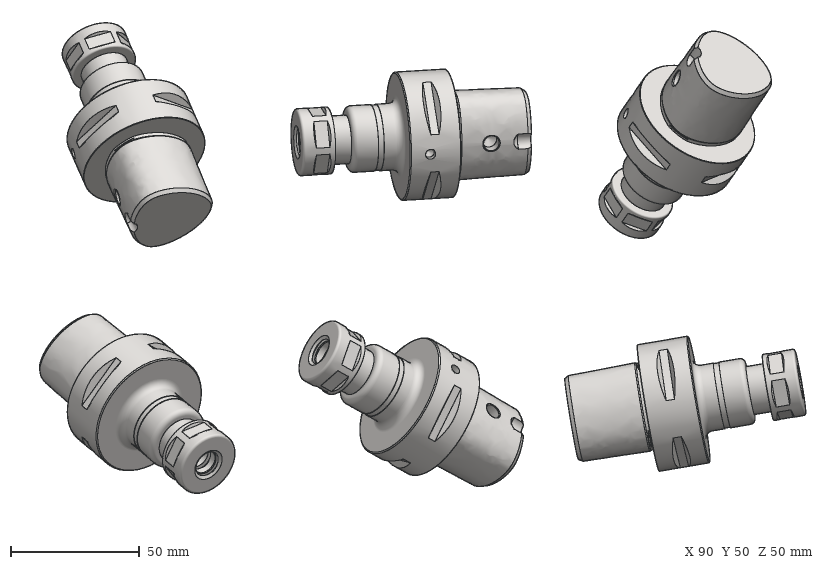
import cadquery as cq
import math


total_length = 90.0
nut_end = 12.9
body_start = 19.8
flange_start = 40.0
flange_end = 60.0
shank_full_start = 62.1
shank_chamfer_length = 1.6

nut_diameter = 26.2
neck_diameter = 19.0
body_diameter = 26.0
groove_diameter = 25.6
flange_diameter = 50.0

nut_front_round = 1.0
nut_rear_round = 0.6
body_front_round = 2.2
flange_blend = 3.0
flange_front_chamfer = 0.45
flange_rear_chamfer = 0.2
groove_start = 29.8
groove_end = 32.0

flat_wall_angle = 30.0
nut_flat_count = 6
nut_flat_centre = 7.8
nut_flat_width = 5.3
nut_flat_distance = 12.0
flange_flat_count = 4
flange_flat_centre = 49.95
flange_flat_width = 3.2
flange_flat_distance = 22.2

shank_mean_radius = 17.5
lobe_height = 1.1
shank_slope = 0.02
shank_chamfer_depth = 1.0
shank_root_step = 0.3
root_bevel_length = 0.5
relief_radius = 17.7
relief_floor_end = 60.8
lobe_count = 3
outline_points = 48

drill_tip_angle = 118.0
cutter_clearance = 0.9

index_hole_centre = 48.0
index_hole_diameter = 4.0
index_hole_depth = 2.7
shank_hole_centre = 73.9
shank_hole_diameter = 6.1
shank_hole_rim_diameter = 7.0
shank_hole_depth = 5.4
slot_diameter = 6.4
slot_start = 84.7
slot_dome_height = 2.0
slot_axis_offset = 16.5

mouth_diameter = 13.0
lip_diameter = 10.5
throat_diameter = 9.6
collar_rim_diameter = 10.0
relief_diameter = 13.5
inner_bore_diameter = 9.3
lip_depth = 0.9
collar_start = 1.9
collar_bevel = 0.45
collar_end = 5.4
inner_bore_start = 6.8
inner_bore_end = 14.4
pin_hole_diameter = 2.0
pin_hole_offset = 3.1
pin_hole_depth = 1.8


def turned_body():
    nut_r = nut_diameter / 2
    neck_r = neck_diameter / 2
    body_r = body_diameter / 2
    groove_r = groove_diameter / 2
    flange_r = flange_diameter / 2
    diagonal = math.sqrt(0.5)

    def rounded_corner(profile, x_centre, r_centre, radius, x_sign, x_end, r_end):
        middle = (x_centre + x_sign * radius * diagonal, r_centre + radius * diagonal)
        return profile.threePointArc(middle, (x_end, r_end))

    profile = cq.Workplane("XY").moveTo(0, 0).lineTo(0, nut_r - nut_front_round)
    profile = rounded_corner(
        profile, nut_front_round, nut_r - nut_front_round, nut_front_round, -1, nut_front_round, nut_r
    )
    profile = profile.lineTo(nut_end - nut_rear_round, nut_r)
    profile = rounded_corner(
        profile, nut_end - nut_rear_round, nut_r - nut_rear_round, nut_rear_round, 1,
        nut_end, nut_r - nut_rear_round,
    )
    profile = profile.lineTo(nut_end, neck_r).lineTo(body_start, neck_r)
    profile = profile.lineTo(body_start, body_r - body_front_round)
    profile = rounded_corner(
        profile, body_start + body_front_round, body_r - body_front_round, body_front_round, -1,
        body_start + body_front_round, body_r,
    )
    profile = profile.lineTo(groove_start, body_r).lineTo(groove_start, groove_r)
    profile = profile.lineTo(groove_end, groove_r).lineTo(groove_end, body_r)
    profile = profile.lineTo(flange_start - flange_blend, body_r)
    profile = profile.threePointArc(
        (
            flange_start - flange_blend * (1 - diagonal),
            body_r + flange_blend * (1 - diagonal),
        ),
        (flange_start, body_r + flange_blend),
    )
    profile = profile.lineTo(flange_start, flange_r - flange_front_chamfer)
    profile = profile.lineTo(flange_start + flange_front_chamfer, flange_r)
    profile = profile.lineTo(flange_end - flange_rear_chamfer, flange_r)
    profile = profile.lineTo(flange_end, flange_r - flange_rear_chamfer).lineTo(flange_end, 0).close()
    return profile.revolve(360, (0, 0, 0), (1, 0, 0))


def flat_cutter(centre, width, distance, outer_diameter, angle):
    """Trapezoidal bar that mills one flat; at angle 0 the flat faces +Z."""
    bar_height = outer_diameter / 2 - distance + cutter_clearance
    spread = bar_height * math.tan(math.radians(flat_wall_angle))
    half = width / 2
    bar = (
        cq.Workplane("XZ")
        .polyline([
            (centre - half, distance),
            (centre + half, distance),
            (centre + half + spread, distance + bar_height),
            (centre - half - spread, distance + bar_height),
        ])
        .close()
        .extrude(outer_diameter / 2, both=True)
    )
    return bar.rotate((0, 0, 0), (1, 0, 0), angle)


def lobed_outline(x, mean_radius):
    """Constant-width outline with one lobe toward +Y, as the envelope of its tangent lines."""
    points = []
    for index in range(outline_points):
        angle = 2 * math.pi * index / outline_points
        support = mean_radius + lobe_height * math.cos(lobe_count * angle)
        support_slope = -lobe_count * lobe_height * math.sin(lobe_count * angle)
        y = support * math.cos(angle) - support_slope * math.sin(angle)
        z = support * math.sin(angle) + support_slope * math.cos(angle)
        points.append(cq.Vector(x, y, z))
    return cq.Wire.assembleEdges([cq.Edge.makeSpline(points, periodic=True)])


def lobed_segment(x_start, radius_start, x_end, radius_end):
    outlines = [lobed_outline(x_start, radius_start), lobed_outline(x_end, radius_end)]
    return cq.Workplane(obj=cq.Solid.makeLoft(outlines, True))


def shank():
    root_radius = shank_mean_radius - shank_root_step
    bevel_start = shank_full_start - root_bevel_length
    chamfer_start = total_length - shank_chamfer_length
    rear_radius = shank_mean_radius - shank_slope * (chamfer_start - shank_full_start)
    root = lobed_segment(flange_end, root_radius, bevel_start, root_radius)
    root = root.union(lobed_segment(bevel_start, root_radius, shank_full_start, shank_mean_radius))
    taper = lobed_segment(shank_full_start, shank_mean_radius, chamfer_start, rear_radius)
    end = lobed_segment(chamfer_start, rear_radius, total_length, rear_radius - shank_chamfer_depth)

    clear_radius = shank_mean_radius + 2 * lobe_height
    relief = (
        cq.Workplane("XY")
        .polyline([
            (flange_end, relief_radius),
            (relief_floor_end, relief_radius),
            (relief_floor_end + clear_radius - relief_radius, clear_radius),
            (flange_end, clear_radius),
        ])
        .close()
        .revolve(360, (0, 0, 0), (1, 0, 0))
    )
    return root.union(taper).union(end).cut(relief)


def tip_length(diameter):
    return diameter / 2 / math.tan(math.radians(drill_tip_angle / 2))


def drilled_hole(diameter, depth):
    """Hole running along +X from the origin, with a conical drill tip."""
    radius = diameter / 2
    return (
        cq.Workplane("XY")
        .polyline([(0, 0), (0, radius), (depth, radius), (depth + tip_length(diameter), 0)])
        .close()
        .revolve(360, (0, 0, 0), (1, 0, 0))
    )


def side_hole(x, surface_radius, diameter, depth):
    """Radial hole entering from the -Y side."""
    hole = drilled_hole(diameter, depth + cutter_clearance)
    return hole.rotate((0, 0, 0), (0, 0, 1), 90).translate((x, -surface_radius - cutter_clearance, 0))


def shank_side_hole():
    """Radial hole in the shank with a narrow countersunk rim."""
    surface = shank_mean_radius - lobe_height - shank_slope * (shank_hole_centre - shank_full_start)
    rim_depth = (shank_hole_rim_diameter - shank_hole_diameter) / 2
    hole = side_hole(shank_hole_centre, surface, shank_hole_diameter, shank_hole_depth)
    rim = (
        cq.Workplane("XZ", origin=(shank_hole_centre, -surface, 0))
        .circle(shank_hole_rim_diameter / 2)
        .workplane(offset=-rim_depth)
        .circle(shank_hole_diameter / 2)
        .loft()
    )
    mouth = (
        cq.Workplane("XZ", origin=(shank_hole_centre, -surface, 0))
        .circle(shank_hole_rim_diameter / 2)
        .extrude(cutter_clearance)
    )
    return hole.union(rim).union(mouth)


def end_slot():
    """Round groove open at the shank end face, closed by a shallow dome."""
    radius = slot_diameter / 2
    dome_radius = (radius**2 + slot_dome_height**2) / (2 * slot_dome_height)
    dome_tip = slot_start - slot_dome_height
    half_angle = math.asin(radius / dome_radius) / 2
    dome_middle = (dome_tip + dome_radius * (1 - math.cos(half_angle)), dome_radius * math.sin(half_angle))
    slot = (
        cq.Workplane("XY")
        .moveTo(dome_tip, 0)
        .threePointArc(dome_middle, (slot_start, radius))
        .lineTo(total_length, radius)
        .lineTo(total_length, 0)
        .close()
        .revolve(360, (0, 0, 0), (1, 0, 0))
    )
    return slot.translate((0, -slot_axis_offset, 0))


def bore():
    profile = [
        (0, 0),
        (0, mouth_diameter / 2),
        (lip_depth, lip_diameter / 2),
        (lip_depth, relief_diameter / 2),
        (collar_start, relief_diameter / 2),
        (collar_start, collar_rim_diameter / 2),
        (collar_start + collar_bevel, throat_diameter / 2),
        (collar_end, throat_diameter / 2),
        (collar_end, relief_diameter / 2),
        (inner_bore_start, relief_diameter / 2),
        (inner_bore_start, inner_bore_diameter / 2),
        (inner_bore_end, inner_bore_diameter / 2),
        (inner_bore_end, 0),
    ]
    return cq.Workplane("XY").polyline(profile).close().revolve(360, (0, 0, 0), (1, 0, 0))


result = turned_body().union(shank())

for turn in range(nut_flat_count):
    angle = 360 / nut_flat_count * turn
    result = result.cut(
        flat_cutter(nut_flat_centre, nut_flat_width, nut_flat_distance, nut_diameter, angle)
    )

for turn in range(flange_flat_count):
    angle = 360 / flange_flat_count * (turn + 0.5)
    result = result.cut(
        flat_cutter(flange_flat_centre, flange_flat_width, flange_flat_distance, flange_diameter, angle)
    )

result = result.cut(side_hole(index_hole_centre, flange_diameter / 2, index_hole_diameter, index_hole_depth))
result = result.cut(shank_side_hole())
result = result.cut(end_slot())
result = result.cut(bore())

for side in (-1, 1):
    pin_hole = drilled_hole(pin_hole_diameter, pin_hole_depth)
    result = result.cut(pin_hole.translate((inner_bore_end, 0, side * pin_hole_offset)))